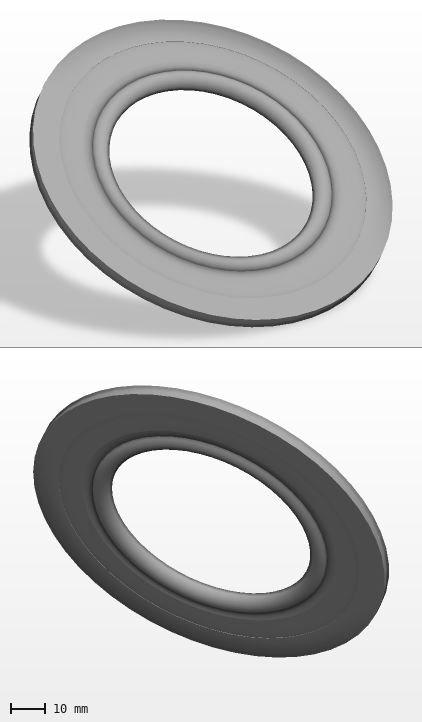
import cadquery as cq
import math

tilt_angle = 29.5
disc_radius = 54.0
rim_thickness = 3.5
rim_inner_radius = 46.1
recess_depth = 0.1
taper_outer_radius = 38.9
bead_center_radius = 33.5
bead_section_radius = 2.8
web_half_thickness = 1.1

rim_half_thickness = rim_thickness / 2
recess_half_thickness = rim_half_thickness - recess_depth
bead_edge_radius = bead_center_radius + math.sqrt(bead_section_radius**2 - web_half_thickness**2)
hole_radius = bead_center_radius - bead_section_radius


def gasket_section():
    """Radial half section: round inner bead, tapered web, recessed face and rim."""
    return (
        cq.Workplane("XZ")
        .moveTo(bead_edge_radius, web_half_thickness)
        .lineTo(taper_outer_radius, recess_half_thickness)
        .lineTo(rim_inner_radius, recess_half_thickness)
        .lineTo(rim_inner_radius, rim_half_thickness)
        .lineTo(disc_radius, rim_half_thickness)
        .lineTo(disc_radius, -rim_half_thickness)
        .lineTo(rim_inner_radius, -rim_half_thickness)
        .lineTo(rim_inner_radius, -recess_half_thickness)
        .lineTo(taper_outer_radius, -recess_half_thickness)
        .lineTo(bead_edge_radius, -web_half_thickness)
        .threePointArc((hole_radius, 0), (bead_edge_radius, web_half_thickness))
        .close()
    )


flat_ring = gasket_section().revolve(360, (0, 0, 0), (0, 1, 0))
result = flat_ring.rotate((0, 0, 0), (0, 1, 0), tilt_angle)